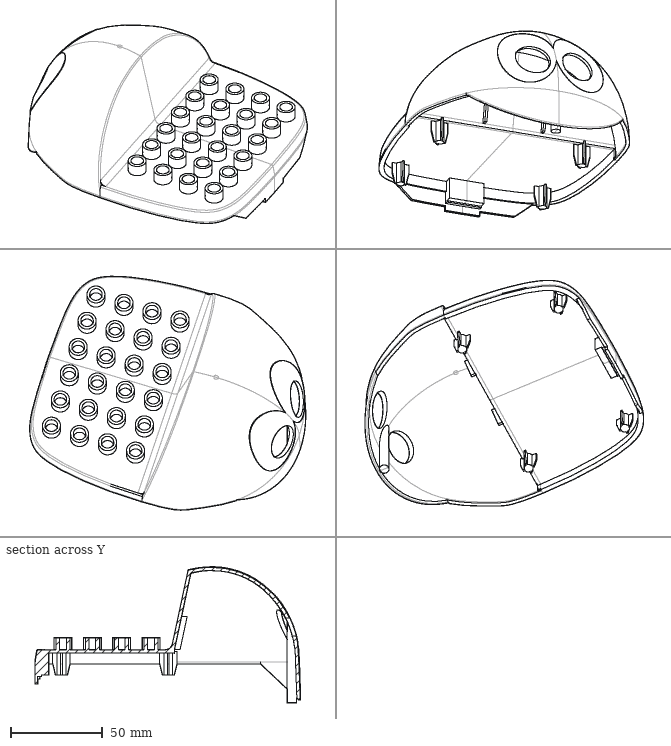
import cadquery as cq
import math

HALF_WIDTH = 62.28
FRONT_LENGTH = 70.0
REAR_LENGTH = 74.12
DOME_HEIGHT = 51.8
PEAK_X = -22.7
FRONT_ROUNDNESS = 2.1
SIDE_SHRINK_POWER = 1.1
DOME_REAR_LENGTH = 30.0
WALL = 2.0
RIM_DEPTH = 1.2
VISOR_EDGE_RADIUS = 0.7
TOP_LATITUDE = 88.5
LEVELS = 6
OUTLINE_POINTS = 4

REAR_SIDE = [(40.3, 59.3), (54.7, 56.0), (65.5, 50.2), (70.2, 43.0), (72.9, 31.5), (73.8, 16.0)]

DECK_Z = 6.75
DECK_DRAFT = 1.1
WALL_TOP_X = -9.3
WALL_TOP_Z = 50.2
FOOT_RADIUS = 3.5
EDGE_RADIUS = 0.9
CAVITY_DRAFT = 0.6
CLEARANCE = 100.0

STUD_PITCH = 16.0
STUD_FIRST_X = 10.8
STUD_COLUMNS = 4
STUD_ROWS = 6
STUD_DIAMETER = 9.8
STUD_BORE = 6.8
STUD_HEIGHT = 6.5

EYE_Y = 13.0
EYE_Z = 19.0
EYE_HOLE_RADIUS = 9.3
EYE_PATCH_Y = 15.0
EYE_PATCH_Z = 22.2
EYE_PATCH_LONG = 19.0
EYE_PATCH_SHORT = 15.2
EYE_PATCH_TILT = 15.0
EYE_PATCH_RELIEF = 0.2
EYE_BACK_X = -30.0

VISOR_TIP_X = -70.7
VISOR_TIP_Z = -21.8
VISOR_REAR_X = -48.8
PIN_X = -65.8
PIN_DIAMETER = 5.2
PIN_BOTTOM = DOME_HEIGHT - 74.09

POST_STATIONS = [1.4, 59.6]
POST_Y = 41.6
POST_CORE_DIAMETER = 4.8
POST_BOTTOM = -7.2
POST_TOP_SPAN = 9.5
POST_TIP_SPAN = 6.6
FIN_THICKNESS = 0.9

APRON_TOP_HALF = 40.0
APRON_TIP_HALF = 30.0
APRON_BOTTOM = -9.4
APRON_WALL = 1.6
LATCH_HALF = 10.0
LATCH_BOTTOM = -12.1
LATCH_STEPS = [(66.5, -7.2), (70.4, -8.0)]

RIB_Y = 17.0
RIB_THICKNESS = 1.2
RIB_TOP = 24.7
RIB_DEPTH = 3.0


def box_between(x_range, y_range, z_range):
    size = [high - low for low, high in (x_range, y_range, z_range)]
    corner = (x_range[0], y_range[0], z_range[0])
    return cq.Workplane("XY", origin=corner).box(*size, centered=False)


def dome_outline(z, scale=1.0, inset=0.0):
    """Half plan outline (y >= 0) of the dome, shrunk about the peak axis and moved in by inset."""
    shift = PEAK_X * (1 - scale)
    front = scale * (FRONT_LENGTH - inset)
    rear = scale * (DOME_REAR_LENGTH - inset)
    width = scale ** SIDE_SHRINK_POWER * (HALF_WIDTH - inset)
    power = 2 / FRONT_ROUNDNESS

    points = []
    for i in range(2 * OUTLINE_POINTS + 1):
        angle = math.pi / 2 * i / OUTLINE_POINTS
        along = abs(math.cos(angle)) ** power
        x = shift - front * along if i < OUTLINE_POINTS else shift + rear * along
        points.append((x, width * abs(math.sin(angle)) ** power))
    points[-1] = (shift + rear, 0)
    inner_tangents = [None] * (OUTLINE_POINTS - 1)
    tangents = [(0, 1), *inner_tangents, (1, 0), *inner_tangents, (0, -1)]

    return (
        cq.Workplane("XY", origin=(0, 0, z))
        .moveTo(*points[0])
        .spline(points[1:], tangents=tangents, includeCurrent=True)
        .close()
    )


def deck_outline(z, side_inset=0.0, rear_inset=0.0):
    """Half plan outline (y >= 0) of the deck, from x = 0 to its rear tip."""
    length_scale = 1 - rear_inset / REAR_LENGTH
    width_scale = 1 - side_inset / HALF_WIDTH
    points = [(x * length_scale, y * width_scale) for x, y in REAR_SIDE]
    points.append((REAR_LENGTH * length_scale, 0))
    return (
        cq.Workplane("XY", origin=(0, 0, z))
        .lineTo(0, HALF_WIDTH * width_scale)
        .spline(points, tangents=[(1, 0), (0, -1)], includeCurrent=True)
        .close()
    )


def loft_sections(sections, ruled=False):
    wires = [section.val() for section in sections]
    return cq.Workplane(cq.Solid.makeLoft(wires, ruled))


def half_dome(inset=0.0):
    """Half of the closed dome, its level outlines shrinking along an elliptic profile."""
    sections = []
    top = math.radians(TOP_LATITUDE)
    height = (DOME_HEIGHT - inset) / math.sin(top)
    for i in range(LEVELS + 1):
        latitude = top * i / LEVELS
        sections.append(dome_outline(height * math.sin(latitude), math.cos(latitude), inset))
    return loft_sections(sections)


def behind_wall(offset=0.0):
    """Space behind the leaning wall, moved forward by offset."""
    lean = WALL_TOP_X / (WALL_TOP_Z - DECK_Z)
    return (
        cq.Workplane("XZ", origin=(0, CLEARANCE, 0))
        .moveTo(-offset, -CLEARANCE)
        .lineTo(CLEARANCE, -CLEARANCE)
        .lineTo(CLEARANCE, CLEARANCE)
        .lineTo(lean * (CLEARANCE - DECK_Z) - offset, CLEARANCE)
        .lineTo(-offset, DECK_Z)
        .close()
        .extrude(2 * CLEARANCE)
    )


def deck_top_inset():
    """Side inset of the deck top that meets the dome width at deck height."""
    scale = math.sqrt(1 - (DECK_Z / DOME_HEIGHT) ** 2)
    return HALF_WIDTH * (1 - scale ** SIDE_SHRINK_POWER)


def eye_patch():
    """Raised patch around the eye, following the dome surface."""
    prism = (
        cq.Workplane("YZ", origin=(EYE_BACK_X - CLEARANCE, EYE_PATCH_Y, EYE_PATCH_Z))
        .ellipse(EYE_PATCH_SHORT, EYE_PATCH_LONG)
        .extrude(CLEARANCE)
        .rotate((0, EYE_PATCH_Y, EYE_PATCH_Z), (1, EYE_PATCH_Y, EYE_PATCH_Z), EYE_PATCH_TILT)
    )
    return half_dome(-EYE_PATCH_RELIEF).intersect(prism)


def visor_zone():
    """Space taken by the visor, from the rim plane down to its sloping lower edge."""
    return (
        cq.Workplane("XZ")
        .moveTo(VISOR_TIP_X, VISOR_TIP_Z)
        .lineTo(VISOR_REAR_X, -RIM_DEPTH)
        .lineTo(VISOR_REAR_X, 0)
        .lineTo(VISOR_TIP_X, 0)
        .close()
        .extrude(-CLEARANCE)
    )


def half_front_skin():
    """Solid half of the dome in front of the wall, with its wall edge rounded and its eye patch."""
    dome = half_dome().cut(behind_wall())
    wall_edges = [
        edge
        for edge in dome.edges().vals()
        if edge.BoundingBox().zmin > DECK_Z - EDGE_RADIUS
        and edge.BoundingBox().zmax < WALL_TOP_Z + EDGE_RADIUS
        and edge.BoundingBox().ylen > HALF_WIDTH / 2
        and edge.geomType() != "LINE"
    ]
    dome = dome.newObject(wall_edges).fillet(EDGE_RADIUS)
    return dome.union(eye_patch(), clean=False)


def half_dome_hollow():
    """Half of the space inside the dome, passing under the wall into the deck."""
    passage = box_between((-2 * WALL, 0), (0, HALF_WIDTH - WALL - CAVITY_DRAFT), (0, DECK_Z - WALL))
    return half_dome(WALL).cut(behind_wall(WALL)).union(passage, clean=False)


def eye_hole():
    return (
        cq.Workplane("YZ", origin=(EYE_BACK_X - CLEARANCE, EYE_Y, EYE_Z))
        .circle(EYE_HOLE_RADIUS)
        .extrude(CLEARANCE)
    )


def half_front():
    """Half of the hollow dome with its eye hole and its rim up to the visor."""
    dome = half_front_skin().cut(half_dome_hollow(), clean=False).cut(eye_hole(), clean=False)
    rim = dome_outline(0).extrude(-RIM_DEPTH).cut(dome_outline(0, inset=WALL).extrude(-RIM_DEPTH))
    rim = rim.cut(behind_wall()).cut(visor_zone())
    return dome.union(rim, clean=False)


def half_deck():
    """Half of the drafted deck with a rounded top edge and a rim, hollow from below."""
    top_outline = deck_outline(DECK_Z, deck_top_inset(), DECK_DRAFT)
    deck = loft_sections([deck_outline(0), top_outline], ruled=True)
    deck = deck.faces(">Z").edges(">X").fillet(EDGE_RADIUS)
    roof = DECK_Z - WALL
    inset = WALL + CAVITY_DRAFT
    hollow = deck_outline(roof, inset, inset).extrude(-roof - RIM_DEPTH)
    return deck.union(deck_outline(0).extrude(-RIM_DEPTH)).cut(hollow)


def half_foot():
    """Concave strip that blends the wall into the deck."""
    lean_angle = math.atan(-WALL_TOP_X / (WALL_TOP_Z - DECK_Z))
    reach = FOOT_RADIUS * math.tan((math.pi / 2 - lean_angle) / 2)
    wall_touch = (-reach * math.sin(lean_angle), DECK_Z + reach * math.cos(lean_angle))
    length = HALF_WIDTH - deck_top_inset() - EDGE_RADIUS
    return (
        cq.Workplane("XZ")
        .moveTo(-reach * math.sin(lean_angle), DECK_Z)
        .lineTo(reach, DECK_Z)
        .radiusArc(wall_touch, FOOT_RADIUS)
        .close()
        .extrude(-length)
    )


def half_visor():
    """Half of the wall that hangs below the front rim, cut off along a slope."""
    flare = (VISOR_TIP_X - PEAK_X) / (-FRONT_LENGTH - PEAK_X)
    outer = loft_sections([dome_outline(0), dome_outline(VISOR_TIP_Z, flare)], ruled=True)
    inner = loft_sections(
        [dome_outline(0, inset=WALL), dome_outline(VISOR_TIP_Z, flare, WALL)], ruled=True
    )
    visor = outer.cut(inner).intersect(visor_zone())
    outer_edge = max(
        (edge for edge in visor.edges().vals() if edge.BoundingBox().zmax < 0),
        key=lambda edge: edge.BoundingBox().ylen,
    )
    return visor.newObject([outer_edge]).fillet(VISOR_EDGE_RADIUS)


def half_front_pin():
    """Half of the pin behind the visor tip, running up into the front wall of the dome."""
    pin = (
        cq.Workplane("XY", origin=(PIN_X, 0, PIN_BOTTOM))
        .circle(PIN_DIAMETER / 2)
        .extrude(DOME_HEIGHT - PIN_BOTTOM)
    )
    envelope = half_dome(WALL / 2).union(dome_outline(0, inset=WALL / 2).extrude(PIN_BOTTOM))
    return pin.intersect(envelope)


def post(x):
    """Round core with two crossed, tapering fins, standing on the deck underside."""
    top = DECK_Z - WALL / 2
    core = (
        cq.Workplane("XY", origin=(x, POST_Y, POST_BOTTOM))
        .circle(POST_CORE_DIAMETER / 2)
        .extrude(top - POST_BOTTOM)
    )
    fin = (
        cq.Workplane("XZ", origin=(x, POST_Y + FIN_THICKNESS / 2, 0))
        .moveTo(-POST_TIP_SPAN / 2, POST_BOTTOM)
        .lineTo(POST_TIP_SPAN / 2, POST_BOTTOM)
        .lineTo(POST_TOP_SPAN / 2, -RIM_DEPTH)
        .lineTo(POST_TOP_SPAN / 2, top)
        .lineTo(-POST_TOP_SPAN / 2, top)
        .lineTo(-POST_TOP_SPAN / 2, -RIM_DEPTH)
        .close()
        .extrude(FIN_THICKNESS)
    )
    cross_fin = fin.rotate((x, POST_Y, 0), (x, POST_Y, 1), 90)
    return core.union(fin).union(cross_fin)


def half_apron():
    """Tapering lip along the rear rim with a narrow latch below it."""
    height = -LATCH_BOTTOM - RIM_DEPTH
    outer = deck_outline(-RIM_DEPTH).extrude(-height)
    inner = deck_outline(-RIM_DEPTH, APRON_WALL, APRON_WALL).extrude(-height)
    face = (
        cq.Workplane("YZ")
        .moveTo(0, -RIM_DEPTH)
        .lineTo(APRON_TOP_HALF, -RIM_DEPTH)
        .lineTo(APRON_TIP_HALF, APRON_BOTTOM)
        .lineTo(LATCH_HALF, APRON_BOTTOM)
        .lineTo(LATCH_HALF, LATCH_BOTTOM)
        .lineTo(0, LATCH_BOTTOM)
        .close()
        .extrude(CLEARANCE)
    )
    return outer.cut(inner).intersect(face)


def half_latch_block():
    """Stepped block that backs the latch and joins it to the deck underside."""
    rear_x = REAR_LENGTH - APRON_WALL / 2
    block = cq.Workplane("XY")
    for front_x, bottom in LATCH_STEPS:
        block = block.union(
            box_between((front_x, rear_x), (0, LATCH_HALF), (bottom, DECK_Z - WALL / 2))
        )
    return block.intersect(deck_outline(DECK_Z, WALL / 2, WALL / 2).extrude(-CLEARANCE))


def inner_rib():
    """Upright rib on the inner face of the leaning wall, beside the eye hole."""
    slab = box_between(
        (-CLEARANCE, CLEARANCE),
        (RIB_Y - RIB_THICKNESS / 2, RIB_Y + RIB_THICKNESS / 2),
        (DECK_Z, RIB_TOP),
    )
    return slab.intersect(behind_wall(WALL + RIB_DEPTH)).cut(behind_wall(WALL / 2))


def half_studs():
    """All studs on the y > 0 side of the deck."""
    columns = [STUD_FIRST_X + i * STUD_PITCH for i in range(STUD_COLUMNS)]
    rows = [(i + 0.5) * STUD_PITCH for i in range(STUD_ROWS // 2)]
    places = [(x, y) for x in columns for y in rows]
    return (
        cq.Workplane("XY", origin=(0, 0, DECK_Z))
        .pushPoints(places)
        .circle(STUD_DIAMETER / 2)
        .pushPoints(places)
        .circle(STUD_BORE / 2)
        .extrude(STUD_HEIGHT)
    )


deck_parts = [half_foot(), half_apron(), half_latch_block(), half_studs()]
deck_parts += [post(station) for station in POST_STATIONS]
front_parts = [half_visor(), inner_rib(), half_front_pin()]
features = [part.val() for part in [half_deck(), *deck_parts, *front_parts]]
half = cq.Workplane(half_front().val().fuse(*features))

result = half.union(half.mirror("XZ"), clean=False)